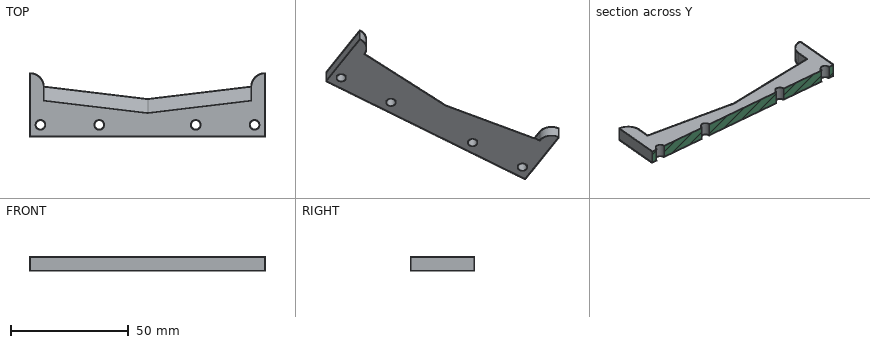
import cadquery as cq
import math

length = 100.0
depth = 27.0
thickness = 6.0
arm_width = 6.0
waist_depth = 10.0
v_end_depth = 16.0
bevel_run = 6.0
hole_diameter = 4.0
hole_end_distance = 4.5
hole_pair_spacing = 25.0
hole_front_distance = 5.0

half_length = length / 2
arm_inner_x = half_length - arm_width
shoulder_depth = waist_depth + (v_end_depth - waist_depth) * arm_inner_x / half_length


def make_arm():
    """Right-hand end arm with a quarter-round tip on its inner side."""
    tip_start_y = depth - arm_width
    arc_middle = (
        half_length - arm_width * math.cos(math.pi / 4),
        tip_start_y + arm_width * math.sin(math.pi / 4),
    )
    return (
        cq.Workplane("XY")
        .moveTo(arm_inner_x, 0)
        .lineTo(half_length, 0)
        .lineTo(half_length, depth)
        .threePointArc(arc_middle, (arm_inner_x, tip_start_y))
        .close()
        .extrude(thickness)
    )


def web_section(x, top_depth):
    """Closed YZ section of the web at x, wider at the bottom than at the top."""
    corners = [
        (0, 0),
        (top_depth + bevel_run, 0),
        (top_depth, thickness),
        (0, thickness),
    ]
    return cq.Wire.makePolygon([cq.Vector(x, y, z) for y, z in corners], close=True)


def make_half_web():
    """Right half of the web, from the waist to the arm, with its bevelled rear face."""
    sections = [web_section(0, waist_depth), web_section(arm_inner_x, shoulder_depth)]
    return cq.Workplane(obj=cq.Solid.makeLoft(sections, True))


def drill_holes(body):
    """Row of through holes along the front edge, mirrored about the middle."""
    outer_x = half_length - hole_end_distance
    inner_x = outer_x - hole_pair_spacing
    centres = [(x, hole_front_distance) for x in (-outer_x, -inner_x, inner_x, outer_x)]
    drills = cq.Workplane("XY").pushPoints(centres).circle(hole_diameter / 2).extrude(thickness)
    return body.cut(drills)


right_half = make_arm().union(make_half_web())
body = right_half.union(right_half.mirror("YZ")).clean()
result = drill_holes(body)